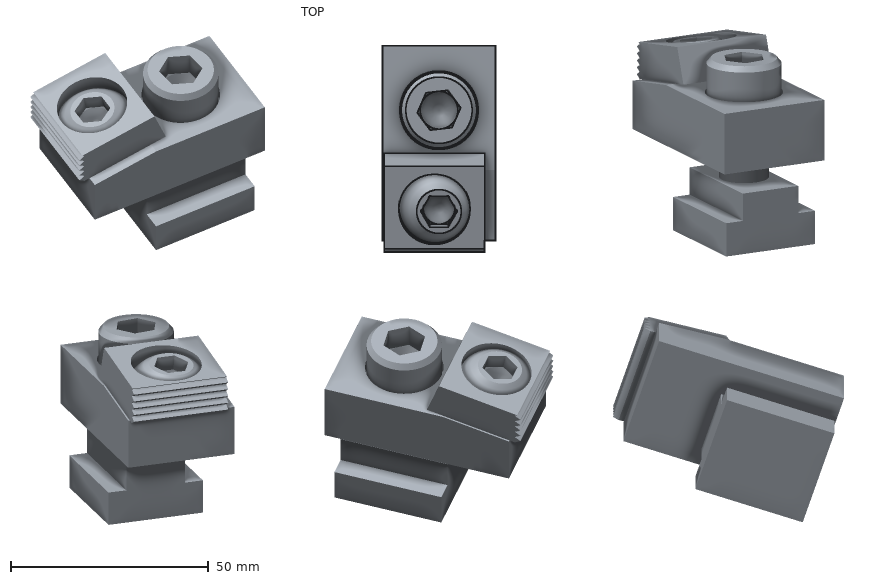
import cadquery as cq
import math

INCH = 25.4

overall_length = 52.2

nut_length = 28.6
nut_foot_width = 25.4
nut_foot_height = 8.7
nut_neck_width = 15.85
nut_height = 15.85

base_width = 28.6
base_rear = 16.35
base_front = -32.9
base_bottom = 22.2
base_thickness = 15.85
base_top = base_bottom + base_thickness
seat_start = -15.1
seat_angle = 10.0
seat_slope = math.tan(math.radians(seat_angle))
counterbore_diameter = 19.85
counterbore_depth = 3.7

shank_diameter = INCH / 2
head_diameter = INCH * 3 / 4
head_height = INCH / 2
head_chamfer_width = 1.15
head_chamfer_height = 1.35
head_socket_flats = INCH * 3 / 8
head_socket_depth = 6.25
head_socket_turn = 6.5
socket_point_slope = 0.5

jaw_width = 25.4
jaw_offset = -1.15
jaw_thickness = 9.5
jaw_rear = 4.35
jaw_rear_angle = 10.0
tooth_count = 5
tooth_pitch = 1.85
tooth_root = -34.35
tooth_tip = base_rear - overall_length
pocket_diameter = 18.0
pocket_place = -8.45

button_diameter = INCH * 7 / 8
button_height = 6.35
button_flat_diameter = 11.25
button_recess = 0.15
button_place = -9.05
button_socket_flats = INCH * 5 / 16
button_socket_depth = 4.05
button_shank_depth = 10.45
button_top = jaw_thickness - button_recess
button_underside = button_top - button_height


def seat_plane():
    """Plane on the seat: its y runs up the incline, its z points out of it."""
    tilt = math.radians(seat_angle)
    normal = (0, -math.sin(tilt), math.cos(tilt))
    return cq.Plane(origin=(0, seat_start, base_top), xDir=(1, 0, 0), normal=normal)


def seat_height(y):
    """Height of the seat plane at a given y."""
    return base_top + (y - seat_start) * seat_slope


def seat_cylinder(diameter, x, place, bottom, top):
    """Cylinder square to the seat between two heights above it."""
    return (
        cq.Workplane(seat_plane())
        .workplane(offset=bottom)
        .center(x, place)
        .circle(diameter / 2)
        .extrude(top - bottom)
    )


def jaw_pocket():
    """Bore in the jaw that holds the head of the jaw screw."""
    return seat_cylinder(pocket_diameter, jaw_offset, pocket_place, button_underside, jaw_thickness)


def hex_socket(flats, depth, turn):
    """Hexagon going down from z = 0, ending in a conical drill point."""
    across_corners = flats / math.cos(math.pi / 6)
    hexagon = cq.Workplane("XY").polygon(6, across_corners).extrude(-depth)
    radius = flats / 2
    point_depth = radius * socket_point_slope
    point = (
        cq.Workplane("XZ")
        .polyline([(0, -depth), (radius, -depth), (0, -depth - point_depth)])
        .close()
        .revolve(360, (0, 0, 0), (0, 1, 0))
    )
    return hexagon.union(point).rotate((0, 0, 0), (0, 0, 1), turn)


def make_nut():
    foot = cq.Workplane("XY").box(nut_foot_width, nut_length, nut_foot_height, centered=(True, True, False))
    neck = cq.Workplane("XY").box(nut_neck_width, nut_length, nut_height, centered=(True, True, False))
    screw_hole = cq.Workplane("XY").circle(shank_diameter / 2).extrude(nut_height)
    return foot.union(neck).cut(screw_hole)


def make_base():
    outline = [
        (base_rear, base_bottom),
        (base_rear, base_top),
        (seat_start, base_top),
        (base_front, seat_height(base_front)),
        (base_front, base_bottom),
    ]
    block = cq.Workplane("YZ").polyline(outline).close().extrude(base_width / 2, both=True)
    clamp_hole = cq.Workplane("XY").circle(shank_diameter / 2).extrude(base_top)
    counterbore = (
        cq.Workplane("XY").workplane(offset=base_top)
        .circle(counterbore_diameter / 2)
        .extrude(-counterbore_depth)
    )
    jaw_screw_hole = seat_cylinder(shank_diameter, 0, button_place, -button_shank_depth, 0)
    return block.cut(clamp_hole).cut(counterbore).cut(jaw_screw_hole)


def make_clamp_screw():
    head_bottom = base_top - counterbore_depth
    head_top = head_bottom + head_height
    head_radius = head_diameter / 2
    profile = [
        (0, 0),
        (shank_diameter / 2, 0),
        (shank_diameter / 2, head_bottom),
        (head_radius, head_bottom),
        (head_radius, head_top - head_chamfer_height),
        (head_radius - head_chamfer_width, head_top),
        (0, head_top),
    ]
    screw = cq.Workplane("XZ").polyline(profile).close().revolve(360, (0, 0, 0), (0, 1, 0))
    socket = hex_socket(head_socket_flats, head_socket_depth, head_socket_turn)
    return screw.cut(socket.translate((0, 0, head_top)))


def make_jaw_screw():
    flat_radius = button_flat_diameter / 2
    rim_radius = button_diameter / 2

    center_depth = (rim_radius**2 - flat_radius**2 + button_height**2) / (2 * button_height)
    dome_radius = math.hypot(flat_radius, center_depth)
    middle_radius = (flat_radius + rim_radius) / 2
    middle_depth = center_depth - math.sqrt(dome_radius**2 - middle_radius**2)

    upright_head = (
        cq.Workplane("XZ")
        .moveTo(0, 0)
        .lineTo(flat_radius, 0)
        .threePointArc((middle_radius, -middle_depth), (rim_radius, -button_height))
        .lineTo(0, -button_height)
        .close()
        .revolve(360, (0, 0, 0), (0, 1, 0))
        .cut(hex_socket(button_socket_flats, button_socket_depth, 0))
        .translate((0, button_place, button_top))
    )
    head = cq.Workplane(upright_head.val().moved(cq.Location(seat_plane())))
    shank = seat_cylinder(shank_diameter, 0, button_place, -button_shank_depth, button_underside)
    return head.intersect(jaw_pocket()).union(shank)


def make_jaw():
    plane = seat_plane()
    lean = jaw_thickness * math.tan(math.radians(jaw_rear_angle))
    rear_bottom = plane.toWorldCoords((0, jaw_rear, 0))
    rear_top = plane.toWorldCoords((0, jaw_rear - lean, jaw_thickness))

    root_bottom = seat_height(tooth_root)
    outline = [(rear_bottom.y, rear_bottom.z), (tooth_root, root_bottom)]
    for tooth in range(tooth_count):
        height = root_bottom + tooth * tooth_pitch
        outline.append((tooth_tip, height + tooth_pitch / 2))
        outline.append((tooth_root, height + tooth_pitch))
    top_root = root_bottom + tooth_count * tooth_pitch
    flank_slope = (tooth_pitch / 2) / (tooth_root - tooth_tip)
    top_at_root = rear_top.z + (tooth_root - rear_top.y) * seat_slope
    reach = (top_at_root - top_root) / (flank_slope + seat_slope)
    outline.append((tooth_root - reach, top_root + reach * flank_slope))
    outline.append((rear_top.y, rear_top.z))

    block = (
        cq.Workplane("YZ").workplane(offset=jaw_offset)
        .polyline(outline)
        .close()
        .extrude(jaw_width / 2, both=True)
    )
    shank_hole = seat_cylinder(shank_diameter, 0, button_place, 0, button_underside)
    return block.cut(jaw_pocket()).cut(shank_hole)


nut = make_nut()
base = make_base()
clamp_screw = make_clamp_screw()
jaw_screw = make_jaw_screw()
jaw = make_jaw()

bodies = [nut, base, clamp_screw, jaw_screw, jaw]
result = cq.Compound.makeCompound([body.solids().val() for body in bodies])